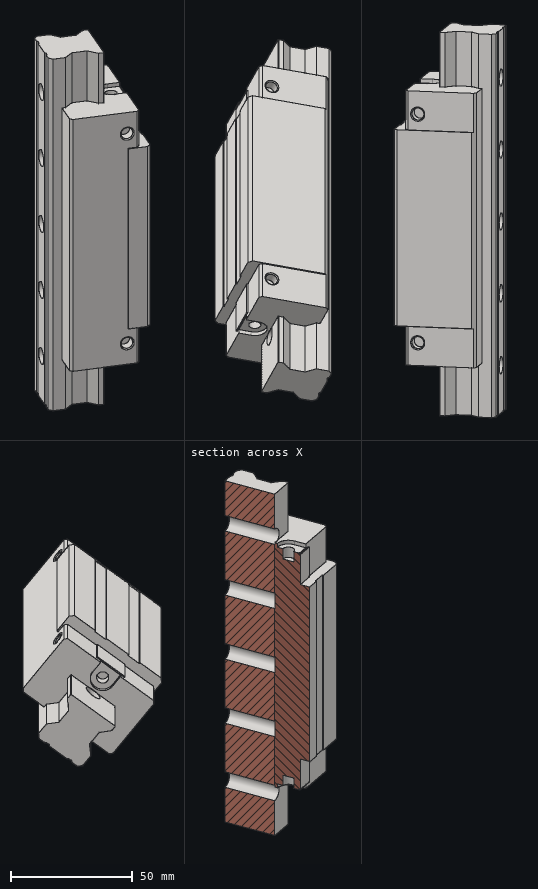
import cadquery as cq

rail_length = 160.0
rail_width = 23.0
rail_height = 23.5
waist_width = 15.8
foot_top = 7.0
waist_bottom = 10.7
waist_top = 17.3
head_bottom = 21.1
foot_chamfer = 1.6
head_chamfer = 0.3

rail_groove_center = 5.8
rail_groove_mouth = 2.5
rail_groove_floor = 1.5
rail_groove_depth = 0.5

bolt_hole_count = 5
bolt_hole_span = 120.0
bolt_hole_diameter = 7.0

overall_height = 40.0
block_width = 48.0
block_length = 82.0
block_bottom = 5.5
block_top_chamfer = 1.6
block_bottom_chamfer = 1.8

carriage_length = 114.5
cap_inset = 0.6
cap_top = 35.2
cap_top_chamfer = 1.1

top_groove_center = 8.6
top_groove_width = 5.8
top_groove_depth = 0.5

pad_width = 14.4
pad_height = 0.5
pad_setback = 2.2

port_y = 30.0
end_port_diameter = 5.0
end_port_depth = 4.8
end_recess_width = 10.2
end_recess_depth = 1.8
side_port_diameter = 5.0
side_port_bevel = 0.5
side_port_depth = 4.8
side_port_z = 47.7

relief_top = 30.2

cap_length = (carriage_length - block_length) / 2
cap_width = block_width - 2 * cap_inset
cap_bottom_chamfer = block_bottom_chamfer - cap_inset


def centered_prism(sketch, length):
    """Extrude an XY outline along Z, half the length to each side."""
    return sketch.extrude(length / 2, both=True)


def rail_outline():
    half = rail_width / 2
    right_side = [
        (half - foot_chamfer, 0),
        (half, foot_chamfer),
        (half, foot_top),
        (waist_width / 2, waist_bottom),
        (waist_width / 2, waist_top),
        (half, head_bottom),
        (half, rail_height - head_chamfer),
        (half - head_chamfer, rail_height),
    ]
    left_side = [(-x, y) for x, y in reversed(right_side)]
    return cq.Workplane("XY").polyline(right_side + left_side).close()


def rail_groove(center_x):
    points = [
        (center_x - rail_groove_mouth / 2, 0),
        (center_x + rail_groove_mouth / 2, 0),
        (center_x + rail_groove_floor / 2, rail_groove_depth),
        (center_x - rail_groove_floor / 2, rail_groove_depth),
    ]
    return centered_prism(cq.Workplane("XY").polyline(points).close(), rail_length)


def make_rail():
    rail = centered_prism(rail_outline(), rail_length)
    for side in (-1, 1):
        rail = rail.cut(rail_groove(side * rail_groove_center))
    pitch = bolt_hole_span / (bolt_hole_count - 1)
    bolt_holes = (
        cq.Workplane("XZ")
        .rarray(1.6, pitch, 1, bolt_hole_count)
        .circle(bolt_hole_diameter / 2)
        .extrude(-rail_height)
    )
    return rail.cut(bolt_holes)


def chamfered_bar(width, top, top_chamfer, bottom_chamfer, length):
    """Bar standing on the carriage underside, with all four long edges chamfered."""
    height = top - block_bottom
    bar = cq.Workplane("XY").box(width, height, length).translate((0, block_bottom + height / 2, 0))
    bar = bar.edges("|Z and >Y").chamfer(top_chamfer)
    return bar.edges("|Z and <Y").chamfer(bottom_chamfer)


def top_groove(center_x):
    return (
        cq.Workplane("XY")
        .box(top_groove_width, 2 * top_groove_depth, block_length)
        .translate((center_x, overall_height, 0))
    )


def cap_pad(end):
    length = cap_length - pad_setback
    return (
        cq.Workplane("XY")
        .box(pad_width, 2 * pad_height, length)
        .translate((0, cap_top, end * (block_length + length) / 2))
    )


def end_recess_and_port(end):
    """U-shaped recess open to the cap top, with a round port in its floor."""
    end_z = end * carriage_length / 2
    radius = end_recess_width / 2
    recess = (
        cq.Workplane("XY", origin=(0, 0, end_z))
        .moveTo(-radius, cap_top)
        .lineTo(-radius, port_y)
        .threePointArc((0, port_y - radius), (radius, port_y))
        .lineTo(radius, cap_top)
        .close()
        .extrude(-end * end_recess_depth)
    )
    port = (
        cq.Workplane("XY", origin=(0, port_y, end_z))
        .circle(end_port_diameter / 2)
        .extrude(-end * (end_recess_depth + end_port_depth))
    )
    return recess.union(port)


def side_port(side, end):
    """Round port in a cap side, with a countersunk rim."""
    mouth = cq.Workplane("YZ", origin=(side * cap_width / 2, port_y, end * side_port_z))
    port = mouth.circle(side_port_diameter / 2).extrude(-side * side_port_depth)
    rim_radius = side_port_diameter / 2 + side_port_bevel
    rim = mouth.circle(rim_radius).extrude(-side * side_port_bevel, taper=45)
    return port.union(rim)


def side_relief():
    """Shallow step that sets the lower +X side of the block flush with the caps."""
    return (
        cq.Workplane("XY")
        .box(cap_inset, relief_top, block_length, centered=(False, False, True))
        .translate((cap_width / 2, 0, 0))
    )


def make_carriage():
    block = chamfered_bar(block_width, overall_height, block_top_chamfer, block_bottom_chamfer, block_length)
    block = block.cut(side_relief())
    caps = chamfered_bar(cap_width, cap_top, cap_top_chamfer, cap_bottom_chamfer, carriage_length)
    carriage = block.union(caps)
    for side in (-1, 1):
        carriage = carriage.cut(top_groove(side * top_groove_center))
    for end in (-1, 1):
        carriage = carriage.union(cap_pad(end))
        carriage = carriage.cut(end_recess_and_port(end))
        for side in (-1, 1):
            carriage = carriage.cut(side_port(side, end))
    return carriage.cut(centered_prism(rail_outline(), rail_length))


rail = make_rail()
carriage = make_carriage()

result = cq.Compound.makeCompound([rail.solids().val(), carriage.solids().val()])